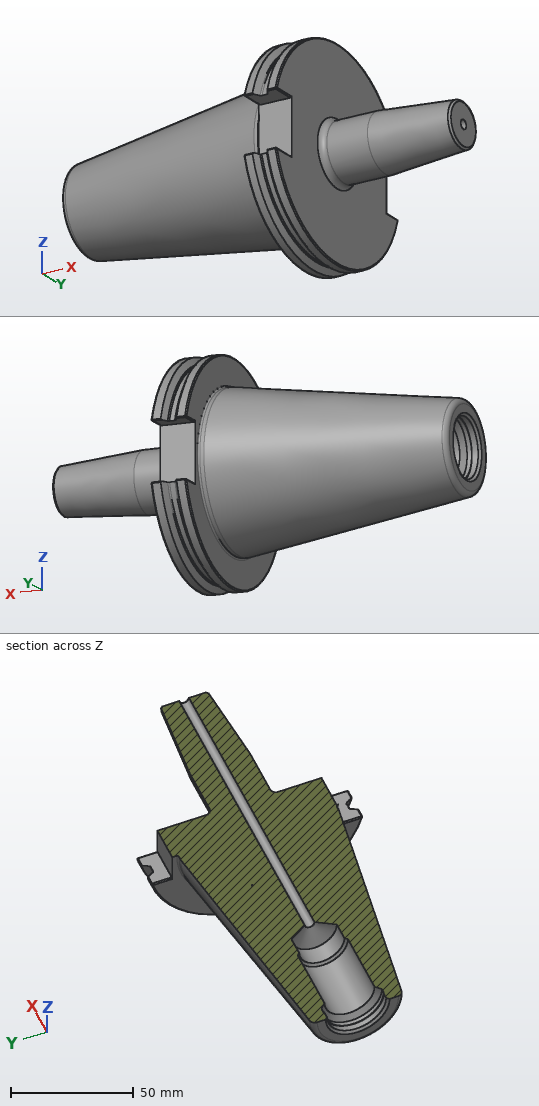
import cadquery as cq
import math

total_length = 181.6
gauge_line = 102.5
flange_start = 105.0
flange_end = 120.8
neck_end = 143.7

taper_ratio = 7 / 24
gauge_diameter = 70.3
taper_edge_radius = 2.5
root_fillet = 0.7

flange_diameter = 97.5
flange_chamfer = 0.5
groove_center = 112.8
groove_floor_diameter = 90.8
groove_floor_width = 3.3
groove_wall_angle = 30
groove_fillet = 0.7

slot_width = 25.8
slot_floor_front = 35.2
slot_floor_back = 37.8

neck_diameter = 27.0
neck_fillet = 1.8
neck_blend_length = 3.3
nose_tip_diameter = 21.0
nose_chamfer = 0.9

bore_mouth_diameter = 28.3
pilot_diameter = 26.2
pilot_depth = 4.0
undercut_diameter = 26.7
undercut_end = 6.2
thread_diameter = 22.2
thread_end = 36.3
core_diameter = 20.0
core_end = 45.4
drill_point_angle = 118
coolant_diameter = 4.2


def revolve_about_x(profile):
    """Full turn of a closed XY profile about the part's axis."""
    return profile.close().revolve(360, (0, 0, 0), (1, 0, 0))


def concave_arc_middle(start_x, end_x, low_radius, high_radius):
    """Middle point of a quarter arc dipping towards the corner (start_x, low_radius)."""
    sag = 1 - math.sqrt(0.5)
    return (
        start_x + (end_x - start_x) * sag,
        low_radius + (high_radius - low_radius) * sag,
    )


def make_taper():
    """Mounting taper, with a rounded small end and a fillet against the flange."""
    gauge_radius = gauge_diameter / 2
    small_radius = gauge_radius - gauge_line * taper_ratio / 2
    root_radius = gauge_radius + root_fillet
    fillet_start = flange_start - root_fillet
    profile = (
        cq.Workplane("XY")
        .lineTo(0, small_radius)
        .lineTo(gauge_line, gauge_radius)
        .lineTo(fillet_start, gauge_radius)
        .threePointArc(
            concave_arc_middle(flange_start, fillet_start, gauge_radius, root_radius),
            (flange_start, root_radius),
        )
        .lineTo(flange_start, 0)
    )
    return revolve_about_x(profile).faces("<X").edges().fillet(taper_edge_radius)


def make_drive_slot(side, floor_distance):
    """Block removed from the flange on the +Y (side = 1) or -Y (side = -1) side."""
    flange_width = flange_end - flange_start
    slot_length = flange_diameter / 2
    return (
        cq.Workplane("XY")
        .box(flange_width, slot_length, slot_width)
        .translate((
            flange_start + flange_width / 2,
            side * (floor_distance + slot_length / 2),
            0,
        ))
    )


def make_groove():
    """Ring removed from the flange rim, with sloping walls and rounded floor corners."""
    flange_radius = flange_diameter / 2
    floor_radius = groove_floor_diameter / 2
    floor_half = groove_floor_width / 2
    wall_run = (flange_radius - floor_radius) * math.tan(math.radians(groove_wall_angle))
    mouth_half = floor_half + wall_run
    profile = cq.Workplane("XY").polyline([
        (groove_center - mouth_half, flange_radius),
        (groove_center - floor_half, floor_radius),
        (groove_center + floor_half, floor_radius),
        (groove_center + mouth_half, flange_radius),
    ])
    floor_corners = cq.selectors.RadiusNthSelector(0)
    return revolve_about_x(profile).edges(floor_corners).fillet(groove_fillet)


def make_flange():
    """Slotted disc with broken outer edges and a V-groove around its rim."""
    disc = (
        cq.Workplane("YZ", origin=(flange_start, 0, 0))
        .circle(flange_diameter / 2)
        .extrude(flange_end - flange_start)
        .cut(make_drive_slot(-1, slot_floor_front))
        .cut(make_drive_slot(1, slot_floor_back))
    )
    rim_and_slot_walls = disc.faces("%CYLINDER").edges().add(disc.edges("|Y"))
    return rim_and_slot_walls.chamfer(flange_chamfer).cut(make_groove())


def make_nose():
    """Neck blended into the flange, then the slim cone with its chamfered tip."""
    neck_radius = neck_diameter / 2
    root_radius = neck_radius + neck_fillet
    blend_end = flange_end + neck_blend_length
    profile = (
        cq.Workplane("XY")
        .moveTo(flange_end, 0)
        .lineTo(flange_end, root_radius)
        .threePointArc(
            concave_arc_middle(flange_end, blend_end, neck_radius, root_radius),
            (blend_end, neck_radius),
        )
        .lineTo(neck_end, neck_radius)
        .lineTo(total_length, nose_tip_diameter / 2)
        .lineTo(total_length, 0)
    )
    return revolve_about_x(profile).faces(">X").edges().chamfer(nose_chamfer)


def make_bore():
    """Revolved cavity: chamfered pilot, undercut, thread, core hole and coolant hole."""
    mouth_radius = bore_mouth_diameter / 2
    pilot_radius = pilot_diameter / 2
    undercut_radius = undercut_diameter / 2
    thread_radius = thread_diameter / 2
    core_radius = core_diameter / 2
    coolant_radius = coolant_diameter / 2

    mouth_chamfer = mouth_radius - pilot_radius
    thread_start = undercut_end + undercut_radius - thread_radius
    core_start = thread_end + thread_radius - core_radius
    point_length = (core_radius - coolant_radius) / math.tan(math.radians(drill_point_angle / 2))
    profile = cq.Workplane("XY").polyline([
        (0, 0),
        (0, mouth_radius),
        (mouth_chamfer, pilot_radius),
        (pilot_depth, pilot_radius),
        (pilot_depth, undercut_radius),
        (undercut_end, undercut_radius),
        (thread_start, thread_radius),
        (thread_end, thread_radius),
        (core_start, core_radius),
        (core_end, core_radius),
        (core_end + point_length, coolant_radius),
        (total_length, coolant_radius),
        (total_length, 0),
    ])
    return revolve_about_x(profile)


result = (
    make_taper()
    .union(make_flange())
    .union(make_nose())
    .cut(make_bore())
)